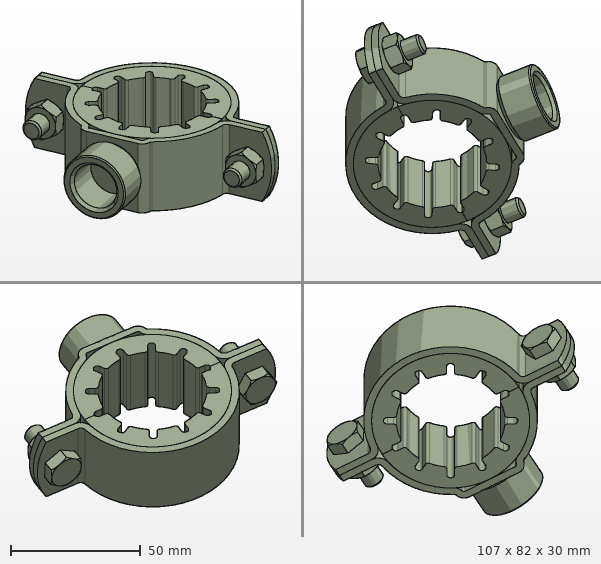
import cadquery as cq
import math

overall_length = 107.0
clamp_width = 30.0
strip_thickness = 3.0
ring_outer_radius = 33.5
ring_inner_radius = ring_outer_radius - strip_thickness

ear_end_radius = 30.0
ear_bend_radius = 2.0
bolt_offset = 43.5

pad_half_length = 11.1
pad_bend_radius = 1.0

lining_bore_radius = 21.0
groove_count = 12
groove_width = 3.0
groove_bottom_radius = 25.9
groove_mouth_fillet = 1.2

socket_radius = 13.4
socket_length = 15.0
socket_bore_radius = 9.2
socket_end_chamfer = 0.5
bore_mouth_chamfer = 1.3
weld_cone_length = 1.5
weld_cone_start_radius = 12.1

hex_across_flats = 13.3
head_height = 5.1
head_clearance = 0.2
nut_height = 6.6
shank_radius = 4.1
shank_protrusion = 14.1
shank_end_chamfer = 0.7
hex_chamfer_angle = 30.0

left_head_turn = 0
right_head_turn = 32
nut_turn = 90

half_length = overall_length / 2
half_width = clamp_width / 2
hex_corner_radius = hex_across_flats / math.sqrt(3)
hex_corner_overhang = hex_corner_radius - hex_across_flats / 2
hex_chamfer_height = hex_corner_overhang * math.tan(math.radians(hex_chamfer_angle))


def polar(center, radius, angle):
    """Point at an angle (radians) on a circle."""
    return (center[0] + radius * math.cos(angle), center[1] + radius * math.sin(angle))


def arc(profile, center, radius, start, end):
    """Continue a profile along a circle from the start angle to the end angle."""
    return profile.threePointArc(polar(center, radius, (start + end) / 2), polar(center, radius, end))


def along_minus_y(x, y):
    """Workplane at (x, y, 0) whose normal points to -Y."""
    return cq.Workplane("XZ", origin=(x, y, 0))


origin = (0.0, 0.0)
crown_angle = math.pi / 2
ear_face_angle = 3 * math.pi / 2

ear_bend_y = strip_thickness + ear_bend_radius
ear_bend_x = math.sqrt((ring_outer_radius + ear_bend_radius) ** 2 - ear_bend_y ** 2)
ear_bend_center = (ear_bend_x, ear_bend_y)
ear_bend_angle = math.atan2(ear_bend_y, ear_bend_x)

large_bend_radius = pad_bend_radius + strip_thickness
pad_bend_center = (pad_half_length, ring_outer_radius - large_bend_radius)
pad_bend_distance = math.hypot(*pad_bend_center)
neck_bend_distance = ring_outer_radius + pad_bend_radius
bend_spacing = large_bend_radius + pad_bend_radius
bend_turn = math.acos(
    (neck_bend_distance ** 2 - pad_bend_distance ** 2 - bend_spacing ** 2)
    / (2 * pad_bend_distance * bend_spacing)
)
bend_joint_angle = math.atan2(pad_bend_center[1], pad_bend_center[0]) - bend_turn
neck_bend_center = polar(pad_bend_center, bend_spacing, bend_joint_angle)
neck_bend_angle = math.atan2(neck_bend_center[1], neck_bend_center[0])


def ear_outline():
    """Rounded ends of the ears, as a prism along Y."""
    corner_inset = ear_end_radius - math.sqrt(ear_end_radius ** 2 - half_width ** 2)
    corner_x = half_length - corner_inset
    return (
        cq.Workplane("XZ")
        .moveTo(-corner_x, -half_width)
        .lineTo(corner_x, -half_width)
        .threePointArc((half_length, 0), (corner_x, half_width))
        .lineTo(-corner_x, half_width)
        .threePointArc((-half_length, 0), (-corner_x, -half_width))
        .close()
        .extrude(ring_outer_radius * 2, both=True)
    )


def bolt_holes():
    """Holes through the ears that the bolt shanks fill."""
    return (
        cq.Workplane("XZ")
        .pushPoints([(-bolt_offset, 0), (bolt_offset, 0)])
        .circle(shank_radius)
        .extrude(strip_thickness * 2, both=True)
    )


def clamp_half(has_pad):
    """Clamp half on the +Y side, with a round crown or with a flat pad."""
    quarter = cq.Workplane("XY", origin=(0, 0, -half_width)).moveTo(0, ring_outer_radius)

    ring_start = crown_angle
    if has_pad:
        ring_start = neck_bend_angle
        quarter = quarter.lineTo(pad_half_length, ring_outer_radius)
        quarter = arc(quarter, pad_bend_center, large_bend_radius, crown_angle, bend_joint_angle)
        quarter = arc(
            quarter, neck_bend_center, pad_bend_radius, bend_joint_angle + math.pi, neck_bend_angle + math.pi
        )
    quarter = arc(quarter, origin, ring_outer_radius, ring_start, ear_bend_angle)
    quarter = arc(quarter, ear_bend_center, ear_bend_radius, ear_bend_angle + math.pi, ear_face_angle)

    quarter = quarter.lineTo(half_length, strip_thickness).lineTo(half_length, 0).lineTo(ear_bend_x, 0)

    ear_inner_radius = ear_bend_radius + strip_thickness
    quarter = arc(quarter, ear_bend_center, ear_inner_radius, ear_face_angle, ear_bend_angle + math.pi)
    quarter = arc(quarter, origin, ring_inner_radius, ear_bend_angle, ring_start)
    if has_pad:
        quarter = arc(
            quarter, neck_bend_center, large_bend_radius, neck_bend_angle + math.pi, bend_joint_angle + math.pi
        )
        quarter = arc(quarter, pad_bend_center, pad_bend_radius, bend_joint_angle, crown_angle)
        quarter = quarter.lineTo(0, ring_inner_radius)

    quarter = quarter.close().extrude(clamp_width)
    half = quarter.union(quarter.mirror("YZ")).clean()
    return half.intersect(ear_outline()).cut(bolt_holes())


def grooved_ring():
    """Full lining ring with round-bottomed grooves along its bore."""
    ring = (
        cq.Workplane("XY", origin=(0, 0, -half_width))
        .circle(ring_inner_radius)
        .circle(lining_bore_radius)
        .extrude(clamp_width)
    )
    groove = (
        cq.Workplane("XY", origin=(0, 0, -half_width))
        .slot2D(2 * groove_bottom_radius, groove_width)
        .extrude(clamp_width)
    )
    groove_pitch = 360 / groove_count
    for index in range(groove_count // 2):
        ring = ring.cut(groove.rotate((0, 0, 0), (0, 0, 1), index * groove_pitch))

    mouth_limit = (lining_bore_radius + groove_bottom_radius - groove_width / 2) / 2
    mouth_edges = [
        edge for edge in ring.edges("|Z").vals() if math.hypot(edge.Center().x, edge.Center().y) < mouth_limit
    ]
    return ring.newObject(mouth_edges).fillet(groove_mouth_fillet)


def lining_half(side):
    """Half of the lining; side is +1 for the +Y half and -1 for the -Y half."""
    half_box = (
        cq.Workplane("XY", origin=(0, side * ring_inner_radius / 2, 0))
        .box(2 * ring_inner_radius, ring_inner_radius, clamp_width)
    )
    return grooved_ring().intersect(half_box)


def socket():
    """Round socket standing on the pad, turned about the Y axis."""
    profile = [
        (socket_bore_radius, 0),
        (weld_cone_start_radius, 0),
        (socket_radius, weld_cone_length),
        (socket_radius, socket_length - socket_end_chamfer),
        (socket_radius - socket_end_chamfer, socket_length),
        (socket_bore_radius + bore_mouth_chamfer, socket_length),
        (socket_bore_radius, socket_length - bore_mouth_chamfer),
    ]
    return (
        cq.Workplane("XY")
        .polyline([(radius, -ring_outer_radius - depth) for radius, depth in profile])
        .close()
        .revolve(360, (0, 0, 0), (0, 1, 0))
    )


def hexagon(x, start_y, height, turn, both_ends):
    """Hexagon along -Y from start_y, corners chamfered at the start or at both ends."""
    prism = (
        along_minus_y(x, start_y)
        .transformed(rotate=(0, 0, turn))
        .polygon(6, 2 * hex_corner_radius)
        .extrude(height)
    )
    flat_radius = hex_across_flats / 2
    end_radius = flat_radius if both_ends else hex_corner_radius
    envelope = (
        cq.Workplane("XY", origin=(x, start_y, 0))
        .polyline([
            (0, 0),
            (flat_radius, 0),
            (hex_corner_radius, -hex_chamfer_height),
            (hex_corner_radius, -height + hex_chamfer_height),
            (end_radius, -height),
            (0, -height),
        ])
        .close()
        .revolve(360, (0, 0, 0), (0, 1, 0))
    )
    return prism.intersect(envelope)


def bolt(x, head_turn):
    """Bolt with its head on the +Y ear and its shank pointing to -Y."""
    seat_y = strip_thickness + head_clearance
    shank_end_y = -strip_thickness - shank_protrusion
    head = hexagon(x, seat_y + head_height, head_height, head_turn, both_ends=False)
    shank = (
        along_minus_y(x, seat_y)
        .circle(shank_radius)
        .extrude(seat_y - shank_end_y)
        .faces("<Y")
        .chamfer(shank_end_chamfer)
    )
    return head.union(shank)


def nut(x):
    """Nut against the -Y ear, with a plain bore filled by the shank."""
    blank = hexagon(x, -strip_thickness, nut_height, nut_turn, both_ends=True)
    bore = along_minus_y(x, -strip_thickness).circle(shank_radius).extrude(nut_height)
    return blank.cut(bore)


round_clamp = clamp_half(has_pad=False)
pad_clamp = clamp_half(has_pad=True).mirror("XZ")
linings = [lining_half(side) for side in (1, -1)]
pipe_socket = socket()
bolts = [bolt(-bolt_offset, left_head_turn), bolt(bolt_offset, right_head_turn)]
nuts = [nut(x) for x in (-bolt_offset, bolt_offset)]

result = cq.Compound.makeCompound([
    round_clamp.val(),
    pad_clamp.val(),
    *[lining.val() for lining in linings],
    pipe_socket.val(),
    *[item.val() for item in bolts],
    *[item.val() for item in nuts],
])